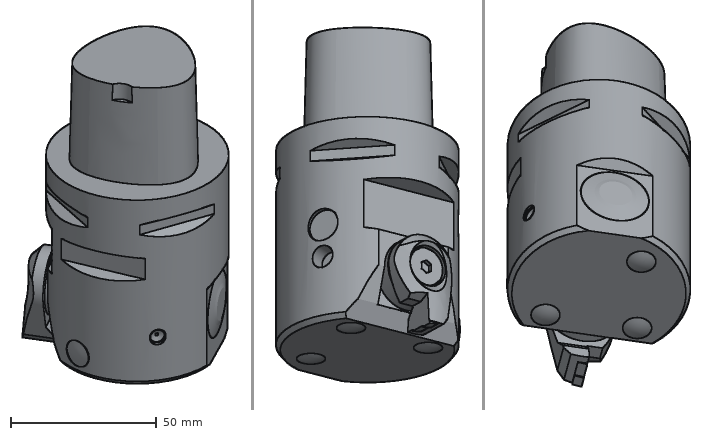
import cadquery as cq
import math


BODY_R = 63.0 / 2
OVERALL_X = 72.3
OVERALL_Z = 116.0
BODY_BOTTOM = -73.9
CUT_MARGIN = 11.6

SHANK_LENGTH = 38.0
SHANK_MEAN_R = 22.0
SHANK_LOBE = 1.7
SHANK_TAPER = 1 / 40
SHANK_FACES = 6
FACE_STEPS = 8
KEYWAY_R = 5.0
KEYWAY_DEPTH = 6.3
KEYWAY_INNER_Y = -17.9

GROOVE_COUNT = 4
GROOVE_START_ANGLE = 45.0
GROOVE_Z = -11.8
GROOVE_FLOOR_HEIGHT = 3.8
GROOVE_FLOOR = 27.8
GROOVE_WALL_ANGLE = 28.0

DATA_FLAT = 27.1
DATA_FLAT_ANGLE = 260.0
DATA_FLAT_TOP = -23.3
DATA_FLAT_BOTTOM = -31.5
POCKET_WALL_ANGLE = 15.0

POCKET_X = -25.3
POCKET_TOP = -23.3
POCKET_BOTTOM = -41.0
FACE_X = -28.0
RAMP_X = -24.0
RAMP_BOTTOM = -67.5
RAMP_END_X = -19.8

BACK_FLAT_X = 28.5
BACK_FLAT_TOP = -42.0

CHAMFER_WIDTH = 1.5
CHAMFER_HEIGHT = 1.9

BAR_Z = -54.9
BAR_R = 23.8 / 2
BORE_R = 24.0 / 2
BAR_FRONT_X = -29.8
BAR_STEP_X = 29.6
BAR_STEP_R = 7.3
BAR_END_X = 30.0
BAR_END_R = 5.8
SLOT_FLOOR_X = -23.2
SLOT_BOTTOM = -67.7

PLUG_ROOT = 2.3
SIDE_PLUG_R = 10.0 / 2
SIDE_PLUG_ANGLE = 244.7
SIDE_PLUG_Z = -65.4
SIDE_PLUG_CROWN = 0.6
END_PLUG_R = SIDE_PLUG_R
END_PLUG_CIRCLE_R = 21.0
END_PLUG_ANGLES = (33.0, 130.0, 230.0)
END_PLUG_CROWN = 1.0
SIDE_HOLE_ANGLE = 116.0
DIAL_R = 11.7 / 2
DIAL_Z = -38.4
DIAL_DEPTH = 1.7
SCREW_HOLE_R = 8.0 / 2
SCREW_HOLE_Z = -50.2
SCREW_HOLE_DEPTH = 7.0
NOZZLE_ANGLE = -61.4
NOZZLE_RIM_R = 6.0 / 2
NOZZLE_BORE_R = 5.0 / 2
NOZZLE_BORE_DEPTH = 1.0
NOZZLE_CONE_DEPTH = 1.9
NOZZLE_JET_R = 1.0 / 2
NOZZLE_JET_DEPTH = 4.6

HEAD_R = 24.0 / 2
HEAD_BACK_X = -30.4
HEAD_RIM_X = -34.7
HEAD_FRONT_R = 16.8
HEAD_FRONT_TOP = (-37.8, -41.8)
HEAD_FRONT_END = (-40.6, -77.7)
ARM_TANGENT_ANGLE = 196.0
ARM_OUTER_CORNER = (-7.0, -73.7)
ARM_LOWER_CORNER = (-4.4, -76.6)
ARM_BOTTOM_Y = -1.4
ARM_EDGE_Y = 2.0
ARM_BOTTOM = -76.9
NOTCH_Y = 7.3
NOTCH_Z = -68.2
NOTCH_SIDE_BULGE = (10.3, -62.1)
NOTCH_BEVEL = 1.9
NOTCH_BACK_X = -35.4
NOTCH_FRONT_X = -39.5
FOOT_TOP = -68.7
FOOT_X = -27.7
FOOT_CORNER_Z = -72.5
FOOT_END_X = -27.5

SCREW_R = 13.6 / 2
RECESS_R = 14.7 / 2
SCREW_FACE_X = -36.0
RECESS_FLOOR_X = -34.8
FLARE_X = -36.8
SOCKET_CORNER_D = 4.8
SOCKET_DEPTH = 1.7

TIP_X = BODY_R - OVERALL_X
TIP_Z = SHANK_LENGTH - OVERALL_Z
TIP_BACK_X = HEAD_BACK_X
TIP_RELIEF = 0.5
TIP_WIDTH = ARM_EDGE_Y - ARM_BOTTOM_Y
NOSE_LENGTH = 4.3
NOSE_STEP = 0.5


def turned_along_x(profile):
    """Solid of revolution about the bar axis from (X, radius) points."""
    points = [(x, BAR_Z + r) for x, r in profile]
    return (
        cq.Workplane("XZ").polyline(points).close()
        .revolve(360, (0, BAR_Z, 0), (1, BAR_Z, 0))
    )


def radial_plane(angle, z, distance):
    """Workplane at a distance from the tool axis, with its normal pointing outward."""
    outward = (math.cos(math.radians(angle)), math.sin(math.radians(angle)), 0)
    tangent = (-outward[1], outward[0], 0)
    origin = (distance * outward[0], distance * outward[1], z)
    return cq.Workplane(cq.Plane(origin, tangent, outward))


def tangent_groove(angle, floor, top, bottom, wall_angle):
    """Straight groove across the housing wall, with a flat floor and flared walls."""
    reach = CUT_MARGIN
    flare = reach * math.tan(math.radians(wall_angle))
    profile = [
        (floor, bottom),
        (floor + reach, bottom - flare),
        (floor + reach, top + flare),
        (floor, top),
    ]
    return (
        cq.Workplane("XZ").polyline(profile).close()
        .extrude(BODY_R, both=True)
        .rotate((0, 0, 0), (0, 0, 1), angle)
    )


def crowned_plug(plane, radius, crown):
    """Plug along the local Y of a plane, with a root below the origin and a spherical crown above."""
    sphere_r = (radius**2 + crown**2) / (2 * crown)
    half_way = (radius / 2, crown - sphere_r + math.sqrt(sphere_r**2 - radius**2 / 4))
    profile = (
        plane.moveTo(0, -PLUG_ROOT)
        .lineTo(radius, -PLUG_ROOT)
        .lineTo(radius, 0)
        .threePointArc(half_way, (0, crown))
        .close()
    )
    return profile.revolve(360, (0, 0, 0), (0, 1, 0))


def shank_point(angle, mean_r):
    """X and Y of a point of the polygon outline, with one lobe pointing to +Y."""
    x = mean_r * math.sin(angle) + SHANK_LOBE * math.sin(2 * angle)
    y = SHANK_LOBE * math.cos(2 * angle) - mean_r * math.cos(angle)
    return x, y


def shank_outline(z):
    """Closed outline of the shank at a height, one spline per face."""
    mean_r = SHANK_MEAN_R - SHANK_TAPER * z
    face_angle = 2 * math.pi / SHANK_FACES
    edges = []
    for face in range(SHANK_FACES):
        points = []
        for i in range(FACE_STEPS + 1):
            angle = face_angle * (face - 0.5 + i / FACE_STEPS)
            x, y = shank_point(angle, mean_r)
            points.append(cq.Vector(x, y, z))
        edges.append(cq.Edge.makeSpline(points))
    return cq.Wire.assembleEdges(edges)


def make_shank():
    shank = cq.Workplane(cq.Solid.makeLoft([shank_outline(0), shank_outline(SHANK_LENGTH)], True))
    keyway = (
        cq.Workplane("XY", origin=(0, KEYWAY_INNER_Y - KEYWAY_R, SHANK_LENGTH))
        .circle(KEYWAY_R)
        .extrude(-KEYWAY_DEPTH)
    )
    return shank.cut(keyway)


def make_barrel():
    """Turned outside of the housing, with the bottom chamfer."""
    profile = [
        (0, 0),
        (BODY_R, 0),
        (BODY_R, BODY_BOTTOM + CHAMFER_HEIGHT),
        (BODY_R - CHAMFER_WIDTH, BODY_BOTTOM),
        (0, BODY_BOTTOM),
    ]
    return cq.Workplane("XZ").polyline(profile).close().revolve(360, (0, 0, 0), (0, 1, 0))


def front_relief():
    """Stepped flats and ramps on the head side."""
    outside = -BODY_R - CUT_MARGIN
    slope = math.tan(math.radians(POCKET_WALL_ANGLE))
    profile = [
        (outside, POCKET_TOP + (POCKET_X - outside) * slope),
        (POCKET_X, POCKET_TOP),
        (POCKET_X, POCKET_BOTTOM),
        (FACE_X, POCKET_BOTTOM - (POCKET_X - FACE_X) * slope),
        (FACE_X, BAR_Z),
        (RAMP_X, RAMP_BOTTOM),
        (RAMP_END_X, BODY_BOTTOM),
        (outside, BODY_BOTTOM),
    ]
    return cq.Workplane("XZ").polyline(profile).close().extrude(BODY_R, both=True)


def back_relief():
    """Flat on the far side, ending in a 45 degree shoulder."""
    profile = [
        (BACK_FLAT_X, BODY_BOTTOM),
        (BACK_FLAT_X, BACK_FLAT_TOP),
        (BACK_FLAT_X + CUT_MARGIN, BACK_FLAT_TOP + CUT_MARGIN),
        (BACK_FLAT_X + CUT_MARGIN, BODY_BOTTOM),
    ]
    return cq.Workplane("XZ").polyline(profile).close().extrude(BODY_R, both=True)


def bar_bore():
    """Cross bore for the slide bar, with an open slot below its head end."""
    bore = (
        cq.Workplane("YZ", origin=(0, 0, BAR_Z))
        .circle(BORE_R)
        .extrude(BODY_R, both=True)
    )
    slot_length = BODY_R + SLOT_FLOOR_X
    slot = (
        cq.Workplane("XY")
        .box(slot_length, 2 * BORE_R, BAR_Z - SLOT_BOTTOM, centered=(False, True, False))
        .translate((-BODY_R, 0, SLOT_BOTTOM))
    )
    return bore.union(slot)


def round_hole(angle, z, radius, depth):
    """Blind round hole that points at the tool axis."""
    return radial_plane(angle, z, BODY_R - depth).circle(radius).extrude(depth + CUT_MARGIN)


def nozzle_hole():
    """Coolant nozzle: a chamfered bore, a cone and a fine jet."""
    rim_flare = NOZZLE_RIM_R - NOZZLE_BORE_R
    profile = [
        (0, -NOZZLE_JET_DEPTH),
        (NOZZLE_JET_R, -NOZZLE_JET_DEPTH),
        (NOZZLE_JET_R, -NOZZLE_CONE_DEPTH),
        (NOZZLE_BORE_R, -NOZZLE_BORE_DEPTH),
        (NOZZLE_BORE_R, -rim_flare),
        (NOZZLE_RIM_R, 0),
        (NOZZLE_RIM_R, CUT_MARGIN),
        (0, CUT_MARGIN),
    ]
    hole = cq.Workplane("XY").polyline(profile).close()
    hole = hole.revolve(360, (0, 0, 0), (0, 1, 0))
    upright = hole.rotate((0, 0, 0), (0, 0, 1), -90)
    placed = upright.translate((BODY_R, 0, BAR_Z))
    return placed.rotate((0, 0, 0), (0, 0, 1), NOZZLE_ANGLE)


def side_plug():
    """Crowned plug standing out of the housing wall."""
    plug = crowned_plug(cq.Workplane("XY"), SIDE_PLUG_R, SIDE_PLUG_CROWN)
    plug = plug.rotate((0, 0, 0), (0, 0, 1), -90)
    plug = plug.translate((BODY_R, 0, SIDE_PLUG_Z))
    return plug.rotate((0, 0, 0), (0, 0, 1), SIDE_PLUG_ANGLE)


def end_plug(angle):
    """Crowned plug standing out of the bottom face."""
    plug = crowned_plug(cq.Workplane("XZ"), END_PLUG_R, END_PLUG_CROWN)
    plug = plug.rotate((0, 0, 0), (1, 0, 0), 180)
    plug = plug.translate((END_PLUG_CIRCLE_R, 0, BODY_BOTTOM))
    return plug.rotate((0, 0, 0), (0, 0, 1), angle)


def make_housing():
    housing = make_barrel().union(make_shank())
    for i in range(GROOVE_COUNT):
        angle = GROOVE_START_ANGLE + i * 360 / GROOVE_COUNT
        top = GROOVE_Z + GROOVE_FLOOR_HEIGHT / 2
        bottom = GROOVE_Z - GROOVE_FLOOR_HEIGHT / 2
        housing = housing.cut(tangent_groove(angle, GROOVE_FLOOR, top, bottom, GROOVE_WALL_ANGLE))
    housing = housing.cut(
        tangent_groove(DATA_FLAT_ANGLE, DATA_FLAT, DATA_FLAT_TOP, DATA_FLAT_BOTTOM, POCKET_WALL_ANGLE)
    )
    housing = housing.cut(front_relief()).cut(back_relief())
    housing = housing.union(side_plug())
    for angle in END_PLUG_ANGLES:
        housing = housing.union(end_plug(angle))
    housing = housing.cut(bar_bore())
    housing = housing.cut(round_hole(SIDE_HOLE_ANGLE, DIAL_Z, DIAL_R, DIAL_DEPTH))
    housing = housing.cut(round_hole(SIDE_HOLE_ANGLE, SCREW_HOLE_Z, SCREW_HOLE_R, SCREW_HOLE_DEPTH))
    return housing.cut(nozzle_hole())


def make_slide_bar():
    """Round bar with a stepped cone on its far end."""
    return turned_along_x([
        (BAR_FRONT_X, 0),
        (BAR_FRONT_X, BAR_R),
        (BACK_FLAT_X, BAR_R),
        (BAR_STEP_X, BAR_STEP_R),
        (BAR_END_X, BAR_END_R),
        (BAR_END_X, 0),
    ])


def head_outline():
    """Round head with an arm hanging below it, as a plate between the front and the foot."""
    tangent = math.radians(ARM_TANGENT_ANGLE)
    return (
        cq.Workplane("YZ", origin=(TIP_X - CUT_MARGIN, 0, 0))
        .moveTo(HEAD_R, BAR_Z)
        .threePointArc(
            (0, BAR_Z + HEAD_R),
            (HEAD_R * math.cos(tangent), BAR_Z + HEAD_R * math.sin(tangent)),
        )
        .lineTo(*ARM_OUTER_CORNER)
        .lineTo(*ARM_LOWER_CORNER)
        .lineTo(ARM_BOTTOM_Y, ARM_BOTTOM)
        .lineTo(ARM_EDGE_Y, ARM_BOTTOM)
        .lineTo(ARM_EDGE_Y, NOTCH_Z)
        .lineTo(NOTCH_Y, NOTCH_Z)
        .threePointArc(NOTCH_SIDE_BULGE, (HEAD_R, BAR_Z))
        .close()
        .extrude(-TIP_X + CUT_MARGIN)
    )


def head_front():
    """Leaning round column that gives the head its rounded front."""
    sections = [
        cq.Wire.makeCircle(HEAD_FRONT_R, cq.Vector(x + HEAD_FRONT_R, 0, z), cq.Vector(0, 0, 1))
        for x, z in (HEAD_FRONT_TOP, HEAD_FRONT_END)
    ]
    return cq.Workplane(cq.Solid.makeLoft(sections, True))


def head_back():
    """Space behind the head: a flat back that steps out to the longer foot."""
    return (
        cq.Workplane("XZ")
        .moveTo(HEAD_BACK_X, 0)
        .lineTo(HEAD_BACK_X, FOOT_TOP)
        .lineTo(FOOT_X, FOOT_CORNER_Z)
        .lineTo(FOOT_END_X, ARM_BOTTOM)
        .lineTo(FOOT_END_X, 2 * ARM_BOTTOM)
        .lineTo(BODY_R, 2 * ARM_BOTTOM)
        .lineTo(BODY_R, 0)
        .close()
        .extrude(BODY_R, both=True)
    )


def head_bevel():
    """45 degree bevel around the upper half of the head front."""
    profile = [
        (HEAD_RIM_X, BAR_Z + HEAD_R),
        (HEAD_RIM_X - HEAD_R, BAR_Z),
        (HEAD_RIM_X - HEAD_R, BAR_Z + 2 * HEAD_R),
        (HEAD_RIM_X, BAR_Z + 2 * HEAD_R),
    ]
    bevel = (
        cq.Workplane("XZ").polyline(profile).close()
        .revolve(360, (0, BAR_Z, 0), (1, BAR_Z, 0))
    )
    upper_half = (
        cq.Workplane("XY", origin=(HEAD_RIM_X, 0, BAR_Z))
        .rect(4 * HEAD_R, 4 * HEAD_R)
        .extrude(2 * HEAD_R)
    )
    return bevel.intersect(upper_half)


def screw_recess():
    """Flared recess with the flat face of the clamping screw standing in it."""
    recess = turned_along_x([
        (RECESS_FLOOR_X, 0),
        (RECESS_FLOOR_X, RECESS_R),
        (FLARE_X, RECESS_R),
        (FLARE_X - CUT_MARGIN, RECESS_R + CUT_MARGIN),
        (FLARE_X - CUT_MARGIN, 0),
    ])
    screw = turned_along_x([
        (RECESS_FLOOR_X, 0),
        (RECESS_FLOOR_X, SCREW_R),
        (SCREW_FACE_X, SCREW_R),
        (SCREW_FACE_X, 0),
    ])
    socket = (
        cq.Workplane("YZ", origin=(SCREW_FACE_X, 0, BAR_Z))
        .transformed(rotate=(0, 0, 90))
        .polygon(6, SOCKET_CORNER_D)
        .extrude(SOCKET_DEPTH)
    )
    return recess.cut(screw).union(socket)


def notch_bevel():
    """Slanted underside of the round head beside the arm."""
    profile = [
        (NOTCH_BACK_X, NOTCH_Z),
        (TIP_X, NOTCH_Z),
        (TIP_X, NOTCH_Z + NOTCH_BEVEL),
        (NOTCH_FRONT_X, NOTCH_Z + NOTCH_BEVEL),
    ]
    return (
        cq.Workplane("XZ", origin=(0, ARM_EDGE_Y, 0)).polyline(profile).close()
        .extrude(-HEAD_R)
    )


def edge_bar(bottom, length):
    """Bar under the arm from the tip backward, its underside rising for clearance."""
    profile = [
        (ARM_EDGE_Y, ARM_BOTTOM),
        (ARM_EDGE_Y, bottom),
        (ARM_EDGE_Y - TIP_WIDTH, bottom + TIP_RELIEF),
        (ARM_EDGE_Y - TIP_WIDTH, ARM_BOTTOM),
    ]
    return cq.Workplane("YZ", origin=(TIP_X, 0, 0)).polyline(profile).close().extrude(length)


def cutting_edge():
    """Insert edge: a deep nose at the tip and a shallower land behind it."""
    nose = edge_bar(TIP_Z, NOSE_LENGTH)
    land = edge_bar(TIP_Z + NOSE_STEP, TIP_BACK_X - TIP_X)
    return nose.union(land)


def make_cutting_head():
    head = head_outline().intersect(head_front()).cut(head_back())
    head = head.cut(head_bevel()).cut(screw_recess()).cut(notch_bevel())
    return head.union(cutting_edge())


housing = make_housing()
slide_bar = make_slide_bar()
cutting_head = make_cutting_head()

result = cq.Compound.makeCompound([housing.val(), slide_bar.val(), cutting_head.val()])